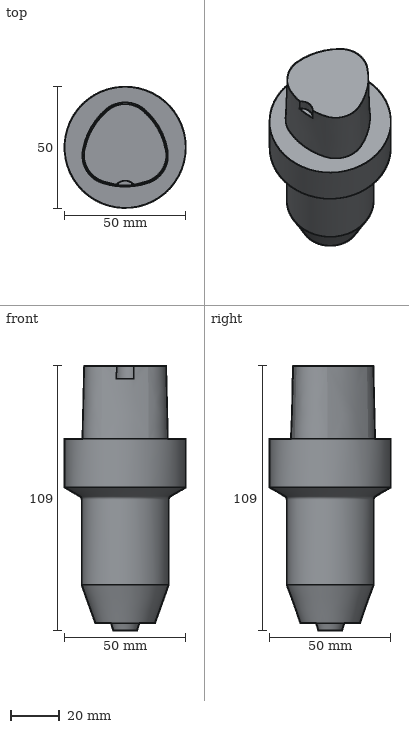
import cadquery as cq
import math

tip_height = 3.2
nose_top = 19.0
flange_base = 59.0
flange_top = 79.0
total_height = 109.0

tip_end_radius = 4.9
tip_root_radius = 5.9
nose_end_radius = 12.3
neck_radius = 36.0 / 2
flange_radius = 50.0 / 2
flange_cone_slope = 30.0
neck_fillet = 1.5

lobe_center_distance = 6.5
lobe_radius = 12.0
side_reach = 16.2
taper_inset = 0.71

notch_radius = 4.7
notch_reach = 13.7
notch_height = 5.3


def polar(distance, degrees):
    angle = math.radians(degrees)
    return distance * math.cos(angle), distance * math.sin(angle)


def round_body():
    cone_drop = (flange_radius - neck_radius) * math.tan(math.radians(flange_cone_slope))
    neck_top = flange_base - cone_drop
    fillet_turn = 90 - flange_cone_slope
    tangent_length = neck_fillet * math.tan(math.radians(fillet_turn / 2))
    cone_dr, cone_dz = polar(tangent_length, flange_cone_slope)
    profile = (
        cq.Workplane("XZ")
        .lineTo(tip_end_radius, 0)
        .lineTo(tip_root_radius, tip_height)
        .lineTo(nose_end_radius, tip_height)
        .lineTo(neck_radius, nose_top)
        .lineTo(neck_radius, neck_top - tangent_length)
        .tangentArcPoint((neck_radius + cone_dr, neck_top + cone_dz), relative=False)
        .lineTo(flange_radius, flange_base)
        .lineTo(flange_radius, flange_top)
        .lineTo(0, flange_top)
        .close()
    )
    return profile.revolve(360, (0, 0, 0), (0, 1, 0))


def lobed_outline(height, inset):
    """Closed outline of three lobe arcs joined by three tangent, flatter side arcs."""
    reach_excess = side_reach - lobe_radius
    side_center_distance = (lobe_center_distance**2 - reach_excess**2) / (
        2 * reach_excess - lobe_center_distance
    )
    lobe_half_angle = math.atan2(
        side_center_distance * math.sin(math.radians(60)),
        side_center_distance * math.cos(math.radians(60)) + lobe_center_distance,
    )
    radius = lobe_radius - inset
    joint_along = lobe_center_distance + radius * math.cos(lobe_half_angle)
    joint_across = radius * math.sin(lobe_half_angle)
    joint_distance = math.hypot(joint_along, joint_across)
    joint_angle = math.degrees(math.atan2(joint_across, joint_along))

    outline = cq.Workplane("XY", origin=(0, 0, height)).moveTo(*polar(joint_distance, 90 - joint_angle))
    for lobe_angle in (90, 210, 330):
        lobe_tip = polar(lobe_center_distance + radius, lobe_angle)
        lobe_end = polar(joint_distance, lobe_angle + joint_angle)
        side_middle = polar(side_reach - inset, lobe_angle + 60)
        side_end = polar(joint_distance, lobe_angle + 120 - joint_angle)
        outline = outline.threePointArc(lobe_tip, lobe_end).threePointArc(side_middle, side_end)
    return outline.close().val()


def shank():
    outlines = [lobed_outline(flange_top, 0), lobed_outline(total_height, taper_inset)]
    return cq.Workplane(cq.Solid.makeLoft(outlines, True))


def notch():
    return (
        cq.Workplane("XY", origin=(0, -notch_reach - notch_radius, total_height - notch_height))
        .circle(notch_radius)
        .extrude(notch_height)
    )


result = round_body().union(shank().cut(notch()))